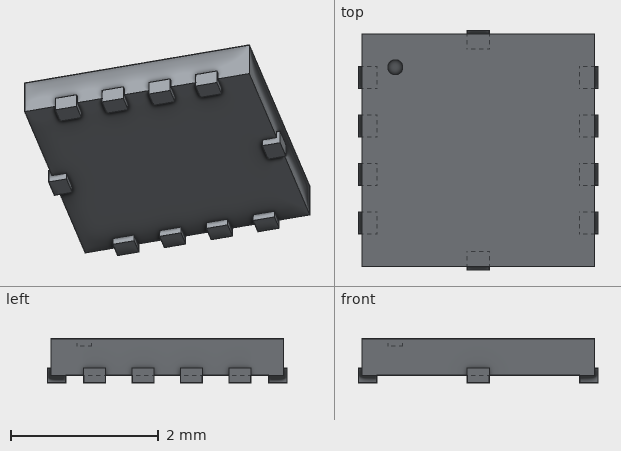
import cadquery as cq

overall_span = 3.25
overall_height = 0.6

terminal_overhang = 0.05
standoff = 0.1
terminal_height = 0.2
terminal_length = 0.25
terminal_width = 0.3
terminal_pitch = 0.655
terminals_per_row = 4

marker_diameter = 0.2
marker_depth = 0.1
marker_offset = 1.125

body_side = overall_span - 2 * terminal_overhang
body_height = overall_height - standoff
terminal_center = (overall_span - terminal_length) / 2


def make_body():
    """Square package raised above the mounting plane."""
    return (
        cq.Workplane("XY", origin=(0, 0, standoff))
        .box(body_side, body_side, body_height, centered=(True, True, False))
    )


def make_terminal(offset_along_side, side_angle):
    """Terminal on the +X side, turned about Z to its own side."""
    return (
        cq.Workplane("XY")
        .center(terminal_center, offset_along_side)
        .box(terminal_length, terminal_width, terminal_height, centered=(True, True, False))
        .rotate((0, 0, 0), (0, 0, 1), side_angle)
    )


def make_marker():
    """Round recess in the top face at the -X, +Y corner."""
    return (
        cq.Workplane("XY", origin=(-marker_offset, marker_offset, overall_height - marker_depth))
        .circle(marker_diameter / 2)
        .extrude(marker_depth)
    )


result = make_body()

for side_angle in (0, 180):
    for index in range(terminals_per_row):
        row_offset = (index - (terminals_per_row - 1) / 2) * terminal_pitch
        result = result.union(make_terminal(row_offset, side_angle))

for side_angle in (90, 270):
    result = result.union(make_terminal(0, side_angle))

result = result.cut(make_marker())